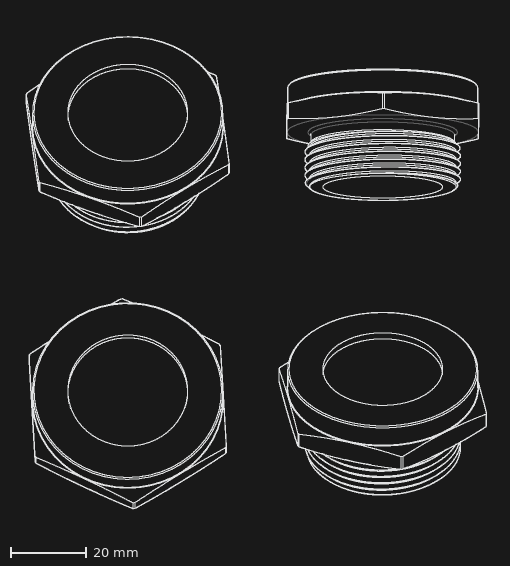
import cadquery as cq
import math

total_height = 27.18
flange_bottom = 14.73
flange_top = 21.03

across_flats = 50.8
across_corners = 58.35
flange_chamfer_slope = math.tan(math.radians(14))
ledge_radius = 25.36
ledge_height = 0.16

head_radius = 25.22
head_chamfer = 0.38

window_radius = 31.75 / 2
window_recess = 2.0

neck_radius = 19.05
neck_fillet = 0.75
neck_bottom = 11.9

thread_radius = 41.275 / 2
thread_pitch = 25.4 / 12
thread_root_radius = 19.4
thread_start_radius = 19.5
root_flat = thread_pitch / 4
crest_flat = 0.1
crest_offset = 0.12
trim_clearance = 0.5
thread_overlap = 0.15


def cylinder(radius, bottom, top):
    return cq.Workplane("XY").workplane(offset=bottom).circle(radius).extrude(top - bottom)


def make_flange():
    """Hexagon with corners on the X axis, turned to a double-coned disc with a ledge on top."""
    height = flange_top - flange_bottom
    hexagon = (
        cq.Workplane("XY")
        .workplane(offset=flange_bottom)
        .polygon(6, across_flats / math.cos(math.pi / 6))
        .extrude(height)
    )
    corner_radius = across_corners / 2
    corner_drop = (corner_radius - ledge_radius) * flange_chamfer_slope
    cone_top = flange_top - ledge_height
    turned_disc = (
        cq.Workplane("XZ")
        .moveTo(0, flange_bottom)
        .lineTo(ledge_radius, flange_bottom)
        .lineTo(corner_radius, flange_bottom + corner_drop)
        .lineTo(corner_radius, cone_top - corner_drop)
        .lineTo(ledge_radius, cone_top)
        .lineTo(ledge_radius, flange_top)
        .lineTo(0, flange_top)
        .close()
        .revolve(360, (0, 0, 0), (0, 1, 0))
    )
    return hexagon.intersect(turned_disc)


def make_head():
    return cylinder(head_radius, flange_top, total_height).faces(">Z").chamfer(head_chamfer)


def make_neck():
    """Undercut neck that flares into the flange with a concave fillet."""
    fillet_bottom = flange_bottom - neck_fillet
    arc_step = neck_fillet * (1 - math.sqrt(0.5))
    return (
        cq.Workplane("XZ")
        .moveTo(0, neck_bottom)
        .lineTo(neck_radius, neck_bottom)
        .lineTo(neck_radius, fillet_bottom)
        .threePointArc(
            (neck_radius + arc_step, flange_bottom - arc_step),
            (neck_radius + neck_fillet, flange_bottom),
        )
        .lineTo(0, flange_bottom)
        .close()
        .revolve(360, (0, 0, 0), (0, 1, 0))
    )


def make_thread_blank():
    """Oversize cylinder whose 45 degree cones trim both ends of the thread."""
    blank_radius = thread_radius + trim_clearance
    return (
        cq.Workplane("XZ")
        .moveTo(0, 0)
        .lineTo(thread_start_radius, 0)
        .lineTo(blank_radius, blank_radius - thread_start_radius)
        .lineTo(blank_radius, neck_bottom - (blank_radius - neck_radius))
        .lineTo(neck_radius, neck_bottom)
        .lineTo(0, neck_bottom)
        .close()
        .revolve(360, (0, 0, 0), (0, 1, 0))
    )


def make_thread_ridge():
    """Helical V ridge that runs past both ends of the thread."""
    ridge_start = crest_offset - thread_pitch
    turns = math.ceil(neck_bottom / thread_pitch) + 2
    helix = cq.Wire.makeHelix(
        thread_pitch, turns * thread_pitch, thread_root_radius, cq.Vector(0, 0, ridge_start)
    )
    half_base = (thread_pitch - root_flat) / 2
    half_crest = crest_flat / 2
    sunk_radius = thread_root_radius - thread_overlap
    return (
        cq.Workplane("XZ")
        .moveTo(sunk_radius, ridge_start - half_base)
        .lineTo(thread_root_radius, ridge_start - half_base)
        .lineTo(thread_radius, ridge_start - half_crest)
        .lineTo(thread_radius, ridge_start + half_crest)
        .lineTo(thread_root_radius, ridge_start + half_base)
        .lineTo(sunk_radius, ridge_start + half_base)
        .close()
        .sweep(cq.Workplane(helix), isFrenet=True)
    )


def make_thread():
    """Overlong core and ridge, trimmed together by the chamfered blank."""
    core = cylinder(thread_root_radius, -thread_pitch, neck_bottom + thread_pitch)
    return core.union(make_thread_ridge()).intersect(make_thread_blank())


def make_housing():
    bore = cylinder(window_radius, 0, total_height)
    upper = make_flange().union(make_head()).union(make_neck())
    return upper.cut(bore).union(make_thread().cut(bore))


def make_window():
    """Sight window that fills the bore up to the shallow recess in the head."""
    return cylinder(window_radius, 0, total_height - window_recess)


housing = make_housing()
window = make_window()
result = cq.Compound.makeCompound([housing.solids().val(), window.val()])